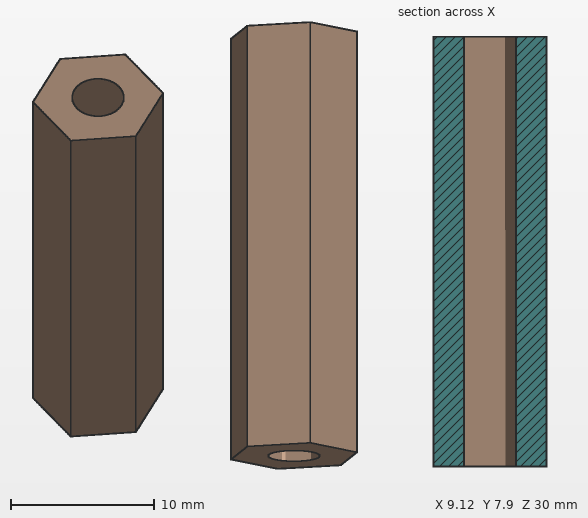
import cadquery as cq
import math

length = 30.0
across_flats = 7.9
hole_diameter = 3.6
side_count = 6

across_corners = across_flats / math.cos(math.pi / side_count)


def hex_body():
    """Hexagonal bar standing on Z = 0, with two corners on the X axis."""
    return cq.Workplane("XY").polygon(side_count, across_corners).extrude(length)


def drill_through(body):
    """Cut the central hole through the full length."""
    return body.faces(">Z").workplane().hole(hole_diameter)


result = drill_through(hex_body())